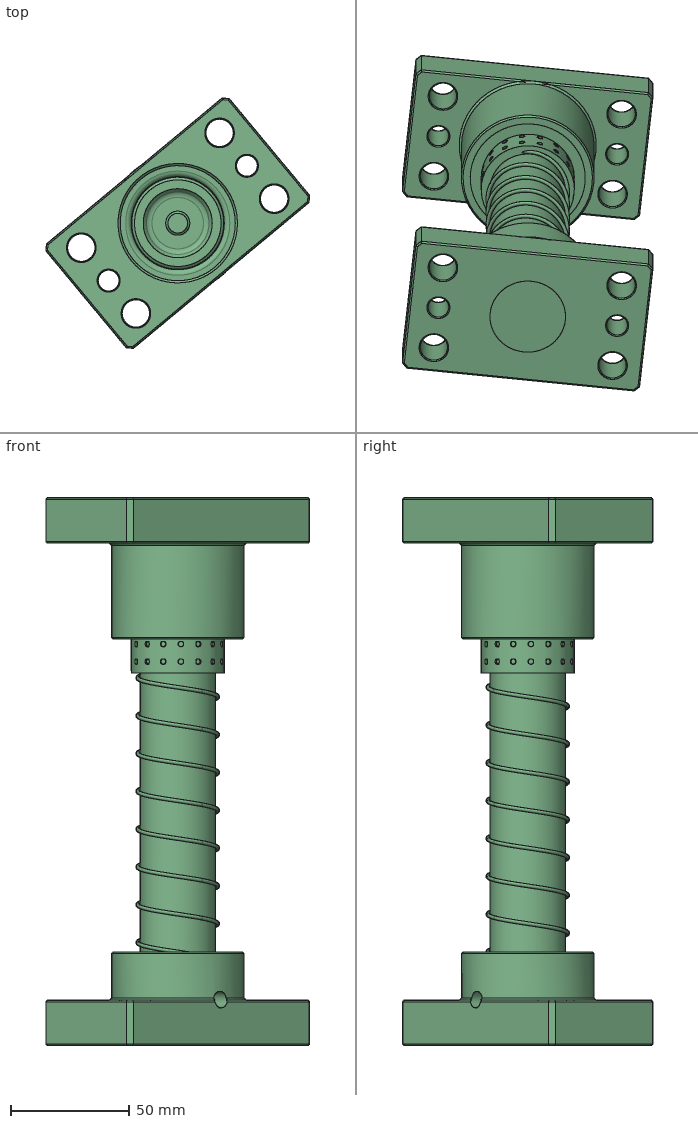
import cadquery as cq
import math

overall_height = 231.5
plate_thickness = 19.2
plate_length = 100.7
plate_width = 57.5
plate_angle = 39.7
corner_chamfer = 2.0
plate_edge_chamfer = 0.7
hole_offset_long = 38.0
hole_offset_short = 18.0
screw_hole_diameter = 11.5
dowel_hole_diameter = 8.8
hole_chamfer = 0.5

collar_radius = 28.0
lower_collar_height = 20.4
upper_collar_height = 40.5
collar_end_chamfer = 0.7
collar_root_chamfer = 1.0
clamp_hole_diameter = 7.0
clamp_hole_lift = 0.2

base_top = plate_thickness
lower_collar_top = base_top + lower_collar_height
head_bottom = overall_height - plate_thickness
upper_collar_bottom = head_bottom - upper_collar_height

bush_radius = 24.3
bush_top = overall_height - 1.0
bush_mouth_radius = 22.0
housing_mouth_chamfer = 1.0

post_radius = 16.0
cage_radius = 19.7
cage_overhang = 14.4
cage_bottom = upper_collar_bottom - cage_overhang

pocket_radius = 1.2
pocket_depth = 1.0
pockets_per_row = 16
pocket_rows = 2
pocket_row_pitch = 7.5
first_row_height = cage_bottom + 4.9
pocket_start_angle = 4

disc_radius = 19.5
disc_thickness = 4.6
disc_edge_chamfer = 1.2
disc_top = overall_height - 1.6
disc_bottom = disc_top - disc_thickness
dish_rim_radius = 14.5
dish_cone_width = 1.5
dish_cone_depth = 2.0
dish_floor_radius = 10.9
dish_floor = disc_top - 3.0

screw_head_radius = 5.0
screw_head_height = 2.5
screw_head_chamfer = 1.0
screw_shank_radius = 3.5
screw_length = 14
screw_tip = dish_floor - screw_length

spring_pitch = 16.0
wire_diameter = 1.6
spring_clearance = 0.05
spring_start_angle = -54

AXIS_START = (0, 0, 0)
Z_AXIS_END = (0, 0, 1)
SKETCH_AXIS_END = (0, 1, 0)


def cylinder(radius, bottom, top):
    return cq.Workplane("XY").workplane(offset=bottom).circle(radius).extrude(top - bottom)


def turned(profile):
    """Solid of revolution about Z from a closed (radius, height) profile."""
    return profile.close().revolve(360, AXIS_START, SKETCH_AXIS_END)


def plate_hole(radius, bottom):
    """Cutter for a hole through a plate, with both mouths chamfered."""
    top = bottom + plate_thickness
    mouth_radius = radius + hole_chamfer
    profile = (
        cq.Workplane("XZ")
        .moveTo(0, bottom)
        .lineTo(mouth_radius, bottom)
        .lineTo(radius, bottom + hole_chamfer)
        .lineTo(radius, top - hole_chamfer)
        .lineTo(mouth_radius, top)
        .lineTo(0, top)
    )
    return turned(profile)


def plate(bottom):
    body = (
        cq.Workplane("XY")
        .workplane(offset=bottom)
        .rect(plate_length, plate_width)
        .extrude(plate_thickness)
        .edges("|Z")
        .chamfer(corner_chamfer)
        .faces("<Z or >Z")
        .edges()
        .chamfer(plate_edge_chamfer)
    )
    screw_hole = plate_hole(screw_hole_diameter / 2, bottom)
    dowel_hole = plate_hole(dowel_hole_diameter / 2, bottom)
    for x in (-hole_offset_long, hole_offset_long):
        body = body.cut(dowel_hole.translate((x, 0, 0)))
        for y in (-hole_offset_short, hole_offset_short):
            body = body.cut(screw_hole.translate((x, y, 0)))
    return body.rotate(AXIS_START, Z_AXIS_END, plate_angle)


def collar(root, end):
    """Collar from a plate face at height `root`, flared at the root and chamfered at the end."""
    away = math.copysign(1, end - root)
    profile = (
        cq.Workplane("XZ")
        .moveTo(0, root)
        .lineTo(collar_radius + collar_root_chamfer, root)
        .lineTo(collar_radius, root + away * collar_root_chamfer)
        .lineTo(collar_radius, end - away * collar_end_chamfer)
        .lineTo(collar_radius - collar_end_chamfer, end)
        .lineTo(0, end)
    )
    return turned(profile)


def make_lower_housing():
    body = plate(0).union(collar(base_top, lower_collar_top))
    body = body.cut(cylinder(post_radius, 0, lower_collar_top))
    clamp_hole = (
        cq.Workplane("XZ", origin=(0, 0, base_top + clamp_hole_lift))
        .circle(clamp_hole_diameter / 2)
        .extrude(plate_width)
        .rotate(AXIS_START, Z_AXIS_END, plate_angle)
    )
    return body.cut(clamp_hole)


def make_upper_housing():
    body = plate(head_bottom).union(collar(head_bottom, upper_collar_bottom))
    bore = cylinder(bush_radius, upper_collar_bottom, overall_height)
    body = body.cut(bore)
    return body.faces(">Z").edges(cq.selectors.RadiusNthSelector(-1)).chamfer(housing_mouth_chamfer)


def make_bush():
    body = cylinder(bush_radius, upper_collar_bottom, bush_top)
    body = body.cut(cylinder(cage_radius, upper_collar_bottom, bush_top))
    mouth_edge = body.faces(">Z").edges(cq.selectors.RadiusNthSelector(0))
    return mouth_edge.fillet(bush_mouth_radius - cage_radius)


def make_cage():
    body = cylinder(cage_radius, cage_bottom, disc_bottom)
    body = body.cut(cylinder(post_radius, cage_bottom, disc_bottom))
    pocket = (
        cq.Workplane("YZ")
        .workplane(offset=cage_radius - pocket_depth)
        .circle(pocket_radius)
        .extrude(2 * pocket_depth)
    )
    for row in range(pocket_rows):
        height = first_row_height + row * pocket_row_pitch
        for i in range(pockets_per_row):
            angle = pocket_start_angle + i * 360 / pockets_per_row
            body = body.cut(pocket.translate((0, 0, height)).rotate(AXIS_START, Z_AXIS_END, angle))
    return body


def make_post():
    body = cylinder(post_radius, 0, disc_bottom)
    return body.cut(cylinder(screw_shank_radius, screw_tip, disc_bottom))


def make_retaining_disc():
    profile = (
        cq.Workplane("XZ")
        .moveTo(screw_shank_radius, disc_bottom)
        .lineTo(screw_shank_radius, dish_floor)
        .lineTo(dish_floor_radius, dish_floor)
        .tangentArcPoint((dish_rim_radius - dish_cone_width, disc_top - dish_cone_depth), relative=False)
        .lineTo(dish_rim_radius, disc_top)
        .lineTo(disc_radius - disc_edge_chamfer, disc_top)
        .lineTo(disc_radius, disc_top - disc_edge_chamfer)
        .lineTo(disc_radius, disc_bottom)
    )
    return turned(profile)


def make_retaining_screw():
    head = cylinder(screw_head_radius, dish_floor, dish_floor + screw_head_height)
    head = head.faces(">Z").chamfer(screw_head_chamfer)
    return head.union(cylinder(screw_shank_radius, screw_tip, dish_floor))


def make_spring():
    coil_radius = post_radius + spring_clearance + wire_diameter / 2
    coil_start = lower_collar_top - wire_diameter
    turns = math.ceil((cage_bottom + wire_diameter - coil_start) / spring_pitch)
    helix = cq.Wire.makeHelix(spring_pitch, spring_pitch, coil_radius, lefthand=True)
    one_turn = (
        cq.Workplane("XZ", origin=(coil_radius, 0, 0))
        .circle(wire_diameter / 2)
        .sweep(cq.Workplane("XY").add(helix), isFrenet=True)
        .rotate(AXIS_START, Z_AXIS_END, spring_start_angle)
        .translate((0, 0, coil_start))
    )
    coil = one_turn
    for i in range(1, turns):
        coil = coil.union(one_turn.translate((0, 0, i * spring_pitch)))
    return coil.intersect(cylinder(2 * coil_radius, lower_collar_top, cage_bottom))


lower_housing = make_lower_housing()
upper_housing = make_upper_housing()
bush = make_bush()
cage = make_cage()
post = make_post()
retaining_disc = make_retaining_disc()
retaining_screw = make_retaining_screw()
spring = make_spring()

bodies = [lower_housing, upper_housing, bush, cage, post, retaining_disc, retaining_screw, spring]
result = cq.Compound.makeCompound([body.val() for body in bodies])